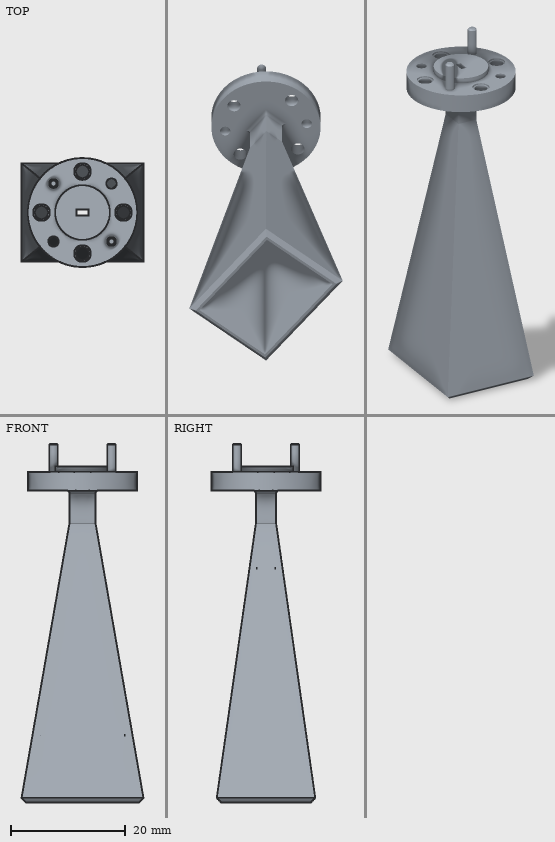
import cadquery as cq
import math

bore_x = 2.032
bore_y = 1.016
wall = 1.27

mouth_x = 21.29
mouth_y = 17.2
mouth_chamfer = 0.8

total_height = 62.56
pin_height = 4.95
boss_height = 0.95
flange_thickness = 3.25
neck_length = 5.65

flange_diameter = 19.05
boss_diameter = 9.525
neck_fillet_radius = 0.5

bolt_circle_radius = 7.144
screw_hole_diameter = 2.3
counterbore_diameter = 2.95
counterbore_depth = 0.25
alignment_hole_diameter = 1.8
pin_diameter = 1.56
pin_tip_chamfer = 0.25
screw_angles = (0, 90, 180, 270)
alignment_hole_angles = (45, 225)
pin_angles = (135, 315)

neck_x = bore_x + 2 * wall
neck_y = bore_y + 2 * wall
flange_top = total_height - pin_height
flange_bottom = flange_top - flange_thickness
boss_top = flange_top + boss_height
horn_top = flange_bottom - neck_length


def bolt_circle_points(angles):
    """Points on the bolt circle at the given angles in degrees."""
    return [
        (
            bolt_circle_radius * math.cos(math.radians(angle)),
            bolt_circle_radius * math.sin(math.radians(angle)),
        )
        for angle in angles
    ]


def rectangular_frustum(bottom_z, bottom_size, top_z, top_size):
    """Solid tapering between two centred rectangles."""
    return (
        cq.Workplane("XY")
        .workplane(offset=bottom_z)
        .rect(*bottom_size)
        .workplane(offset=top_z - bottom_z)
        .rect(*top_size)
        .loft(ruled=True, combine=True)
    )


def rectangular_prism(bottom_z, top_z, size):
    """Upright centred block."""
    return cq.Workplane("XY").workplane(offset=bottom_z).rect(*size).extrude(top_z - bottom_z)


def cylinder(bottom_z, top_z, diameter, points=((0, 0),)):
    """Upright cylinders centred on the given points."""
    return (
        cq.Workplane("XY")
        .workplane(offset=bottom_z)
        .pushPoints(points)
        .circle(diameter / 2)
        .extrude(top_z - bottom_z)
    )


def make_horn():
    """Pyramidal outer body with its mouth edge bevelled."""
    mouth_face = (mouth_x - 2 * mouth_chamfer, mouth_y - 2 * mouth_chamfer)
    mouth_outline = (mouth_x, mouth_y)
    bevel = rectangular_frustum(0, mouth_face, mouth_chamfer, mouth_outline)
    taper = rectangular_frustum(mouth_chamfer, mouth_outline, horn_top, (neck_x, neck_y))
    return bevel.union(taper)


def make_flange_and_neck():
    """Round flange with raised boss, joined to the neck by a fillet."""
    neck = rectangular_prism(horn_top, flange_bottom, (neck_x, neck_y))
    body = cylinder(flange_bottom, flange_top, flange_diameter).union(neck)
    half_x = neck_x / 2 + neck_fillet_radius
    half_y = neck_y / 2 + neck_fillet_radius
    joint_edges = cq.selectors.BoxSelector(
        (-half_x, -half_y, flange_bottom - neck_fillet_radius),
        (half_x, half_y, flange_bottom + neck_fillet_radius),
    )
    body = body.edges("#Z").edges(joint_edges).fillet(neck_fillet_radius)
    return body.union(cylinder(flange_top, boss_top, boss_diameter))


def make_bore():
    """Waveguide passage, flaring inside the horn to follow its outer walls."""
    mouth_opening = (mouth_x - 2 * wall, mouth_y - 2 * wall)
    flare = rectangular_frustum(0, mouth_opening, horn_top, (bore_x, bore_y))
    passage = rectangular_prism(horn_top, boss_top, (bore_x, bore_y))
    return flare.union(passage)


def make_flange_holes():
    """Counterbored screw holes and plain alignment holes through the flange."""
    screw_points = bolt_circle_points(screw_angles)
    screws = cylinder(flange_bottom, flange_top, screw_hole_diameter, screw_points)
    counterbores = cylinder(
        flange_top - counterbore_depth, flange_top, counterbore_diameter, screw_points
    )
    alignment_points = bolt_circle_points(alignment_hole_angles)
    alignment = cylinder(flange_bottom, flange_top, alignment_hole_diameter, alignment_points)
    return screws.union(counterbores).union(alignment)


def make_pins():
    """Alignment pins with chamfered tips, seated through the flange."""
    pins = cylinder(flange_bottom, total_height, pin_diameter, bolt_circle_points(pin_angles))
    return pins.faces(">Z").edges().chamfer(pin_tip_chamfer)


body = make_horn().union(make_flange_and_neck())
body = body.cut(make_bore()).cut(make_flange_holes())
result = body.union(make_pins())